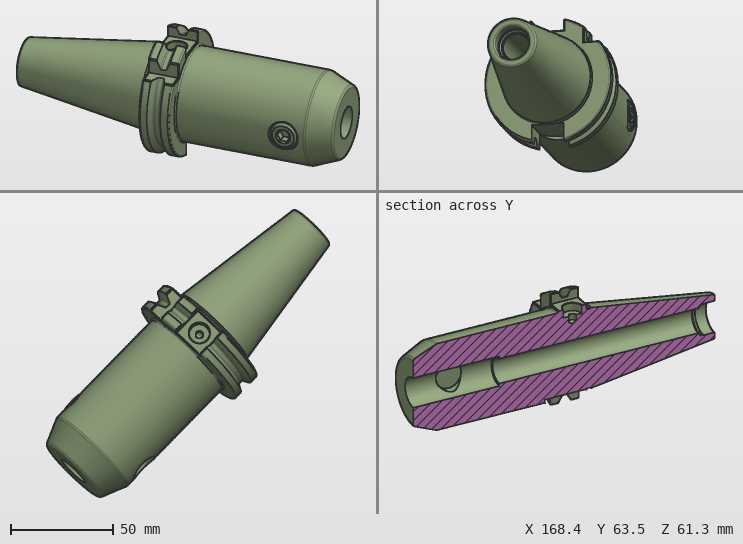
import cadquery as cq
import math

TAPER_RATIO = 7 / 24
GAUGE_X = 68.4
GAUGE_RADIUS = 22.2
TAPER_END_X = 69.0
TAIL_FILLET = 1.0
NECK_RADIUS = 21.9
NECK_BEVEL = 1.0
NECK_FILLET = 0.7

FLANGE_X = 71.5
FLANGE_END_X = 87.5
FLANGE_DIAMETER = 63.5
FLANGE_RADIUS = FLANGE_DIAMETER / 2
FLANGE_EDGE_FILLET = 0.8
GROOVE_X = 79.5
GROOVE_WIDTH = 7.0
GROOVE_RADIUS = 28.1
GROOVE_HALF_ANGLE = 30
GROOVE_FILLET = 0.7

KEYWAY_WIDTH = 16.2
TOP_KEYWAY_Z = 25.0
BOTTOM_KEYWAY_Z = -22.2
BOTTOM_KEYWAY_END_X = 94.8
CORNER_NOTCH = 18.4
NOTCH_EDGE_BREAK = 0.5

POCKET_RADIUS = 5.0
POCKET_DEPTH = 4.4
POCKET_CHAMFER = 0.25
DRILL_RADIUS = 1.9
DRILL_DEPTH = 3.4
DRILL_TIP_ANGLE = 118

BODY_DIAMETER = 48.0
BODY_RADIUS = BODY_DIAMETER / 2
BODY_ROOT_FILLET = 0.8
NOSE_X = 155.3
LENGTH = 168.4
NOSE_RADIUS = 18.5
NOSE_EDGE_FILLET = 1.5
NOSE_SHOULDER_FILLET = 2.7

TAIL_BORE_RADIUS = 8.6
TAIL_BORE_DEPTH = 6.5
TAIL_BORE_MOUTH_FILLET = 0.8
PILOT_RADIUS = 8.5
PILOT_LENGTH = 1.3
THROUGH_RADIUS = 6.7
COUNTERSINK_RADIUS = 7.4
STEEP_CONE_DEPTH = 0.3
TOOL_BORE_RADIUS = 8.0
TOOL_BORE_DEPTH = 48.0

SCREW_X = 144.3
SCREW_RADIUS = 7.0
SCREW_HOLE_CHAMFER = 0.7
SCREW_OUTER_Y = -23.9
SCREW_CHAMFER = 1.3
HEX_SIDES = 6
HEX_ACROSS_FLATS = 5.9
HEX_DEPTH = 5.0
HEX_RIM_RADIUS = 3.9
BALANCE_HOLE_X = 143.3
BALANCE_HOLE_RADIUS = 7.5

PICK_MARGIN = 0.2


def revolve_about_x(points):
    return cq.Workplane("XZ").polyline(points).close().revolve(360, (0, 0, 0), (1, 0, 0))


def circle_at(x, radius):
    """Selector for the circular edge about the X axis with this radius, in the plane at x."""
    reach = radius + PICK_MARGIN
    return cq.selectors.BoxSelector(
        (x - PICK_MARGIN, -reach, -reach),
        (x + PICK_MARGIN, reach, reach),
        boundingbox=True)


def box_between(x_range, y_range, z_range):
    size = [high - low for low, high in (x_range, y_range, z_range)]
    corner = (x_range[0], y_range[0], z_range[0])
    return cq.Workplane("XY", origin=corner).box(*size, centered=False)


def taper_radius(x):
    return GAUGE_RADIUS + (x - GAUGE_X) * TAPER_RATIO / 2


def make_shank():
    taper = revolve_about_x([
        (0, 0),
        (0, taper_radius(0)),
        (TAPER_END_X, taper_radius(TAPER_END_X)),
        (TAPER_END_X + NECK_BEVEL, NECK_RADIUS),
        (FLANGE_X, NECK_RADIUS),
        (FLANGE_X, 0),
    ])
    return taper.faces("<X").edges().fillet(TAIL_FILLET)


def cut_groove(flange):
    half_mouth = GROOVE_WIDTH / 2
    slope = math.tan(math.radians(GROOVE_HALF_ANGLE))
    half_floor = half_mouth - (FLANGE_RADIUS - GROOVE_RADIUS) * slope
    clearance = 1.7
    half_outside = half_mouth + clearance * slope
    ring = revolve_about_x([
        (GROOVE_X - half_floor, GROOVE_RADIUS),
        (GROOVE_X + half_floor, GROOVE_RADIUS),
        (GROOVE_X + half_outside, FLANGE_RADIUS + clearance),
        (GROOVE_X - half_outside, FLANGE_RADIUS + clearance),
    ])
    floor_edges = cq.selectors.RadiusNthSelector(0)
    return flange.cut(ring.edges(floor_edges).fillet(GROOVE_FILLET))


def make_flange():
    flange = revolve_about_x([
        (FLANGE_X, 0),
        (FLANGE_X, FLANGE_RADIUS),
        (FLANGE_END_X, FLANGE_RADIUS),
        (FLANGE_END_X, 0),
    ])
    flange = flange.faces("<X or >X").edges().fillet(FLANGE_EDGE_FILLET)
    length = (FLANGE_X, FLANGE_END_X)
    half_width = KEYWAY_WIDTH / 2
    top_keyway = box_between(length, (-half_width, half_width), (TOP_KEYWAY_Z, FLANGE_RADIUS))
    corner_notch = box_between(length, (-FLANGE_RADIUS, -CORNER_NOTCH), (CORNER_NOTCH, FLANGE_RADIUS))
    flange = flange.cut(top_keyway).cut(corner_notch)
    flange = flange.faces("<X or >X").edges("%LINE").chamfer(NOTCH_EDGE_BREAK)
    return cut_groove(flange)


def make_body():
    body = revolve_about_x([
        (FLANGE_END_X, 0),
        (FLANGE_END_X, BODY_RADIUS),
        (NOSE_X, BODY_RADIUS),
        (LENGTH, NOSE_RADIUS),
        (LENGTH, 0),
    ])
    body = body.edges(circle_at(NOSE_X, BODY_RADIUS)).fillet(NOSE_SHOULDER_FILLET)
    return body.faces(">X").edges().fillet(NOSE_EDGE_FILLET)


def bottom_keyway():
    half_width = KEYWAY_WIDTH / 2
    end_center_x = BOTTOM_KEYWAY_END_X - half_width
    return (
        cq.Workplane("XY", origin=(0, 0, BOTTOM_KEYWAY_Z))
        .moveTo(FLANGE_X, -half_width)
        .lineTo(end_center_x, -half_width)
        .threePointArc((BOTTOM_KEYWAY_END_X, 0), (end_center_x, half_width))
        .lineTo(FLANGE_X, half_width)
        .close()
        .extrude(-FLANGE_RADIUS)
    )


def keyway_pocket():
    drill_bottom = POCKET_DEPTH + DRILL_DEPTH
    tip_length = DRILL_RADIUS / math.tan(math.radians(DRILL_TIP_ANGLE / 2))
    profile = [
        (0, 0),
        (POCKET_RADIUS + POCKET_CHAMFER, 0),
        (POCKET_RADIUS, -POCKET_CHAMFER),
        (POCKET_RADIUS, -POCKET_DEPTH),
        (DRILL_RADIUS, -POCKET_DEPTH),
        (DRILL_RADIUS, -drill_bottom),
        (0, -drill_bottom - tip_length),
    ]
    pocket = cq.Workplane("XZ").polyline(profile).close().revolve(360, (0, 0, 0), (0, 1, 0))
    return pocket.translate((GROOVE_X, 0, TOP_KEYWAY_Z))


def axial_bore():
    pilot_end_x = TAIL_BORE_DEPTH + PILOT_LENGTH
    countersink_end_x = pilot_end_x + PILOT_RADIUS - COUNTERSINK_RADIUS
    tool_bore_x = LENGTH - TOOL_BORE_DEPTH
    return revolve_about_x([
        (0, 0),
        (0, TAIL_BORE_RADIUS),
        (TAIL_BORE_DEPTH, TAIL_BORE_RADIUS),
        (TAIL_BORE_DEPTH, PILOT_RADIUS),
        (pilot_end_x, PILOT_RADIUS),
        (countersink_end_x, COUNTERSINK_RADIUS),
        (countersink_end_x + STEEP_CONE_DEPTH, THROUGH_RADIUS),
        (tool_bore_x, THROUGH_RADIUS),
        (tool_bore_x, TOOL_BORE_RADIUS),
        (LENGTH, TOOL_BORE_RADIUS),
        (LENGTH, 0),
    ])


def cut_screw_hole(holder):
    hole = cq.Workplane("XZ", origin=(SCREW_X, 0, 0)).circle(SCREW_RADIUS).extrude(BODY_RADIUS)
    reach = SCREW_RADIUS + PICK_MARGIN
    middle_of_wall = (BODY_RADIUS + TOOL_BORE_RADIUS) / 2
    rim = cq.selectors.BoxSelector(
        (SCREW_X - reach, -BODY_RADIUS - PICK_MARGIN, -reach),
        (SCREW_X + reach, -middle_of_wall, reach),
        boundingbox=True)
    return holder.cut(hole).edges(rim).chamfer(SCREW_HOLE_CHAMFER)


def balance_hole():
    plane = cq.Workplane("XZ", origin=(BALANCE_HOLE_X, 0, 0))
    return plane.circle(BALANCE_HOLE_RADIUS).extrude(-BODY_RADIUS)


def make_holder():
    holder = make_shank().union(make_flange()).union(make_body())
    holder = holder.edges(circle_at(FLANGE_X, NECK_RADIUS)).fillet(NECK_FILLET)
    holder = holder.edges(circle_at(FLANGE_END_X, BODY_RADIUS)).fillet(BODY_ROOT_FILLET)
    for feature in (bottom_keyway(), keyway_pocket(), axial_bore(), balance_hole()):
        holder = holder.cut(feature)
    holder = holder.edges(circle_at(0, TAIL_BORE_RADIUS)).fillet(TAIL_BORE_MOUTH_FILLET)
    return cut_screw_hole(holder)


def make_screw():
    outer_face = cq.Workplane("XZ", origin=(SCREW_X, SCREW_OUTER_Y, 0))
    length = -SCREW_OUTER_Y - TOOL_BORE_RADIUS
    screw = outer_face.circle(SCREW_RADIUS).extrude(-length)
    screw = screw.faces("<Y").edges().chamfer(SCREW_CHAMFER)
    hex_across_corners = HEX_ACROSS_FLATS / math.cos(math.pi / HEX_SIDES)
    socket = outer_face.polygon(HEX_SIDES, hex_across_corners).extrude(-HEX_DEPTH)
    rim = cq.Workplane(cq.Solid.makeCone(
        HEX_RIM_RADIUS, 0, HEX_RIM_RADIUS,
        pnt=cq.Vector(SCREW_X, SCREW_OUTER_Y, 0), dir=cq.Vector(0, 1, 0)))
    return screw.cut(socket).cut(rim)


holder = make_holder()
clamping_screw = make_screw()
result = cq.Compound.makeCompound([holder.val(), clamping_screw.val()])